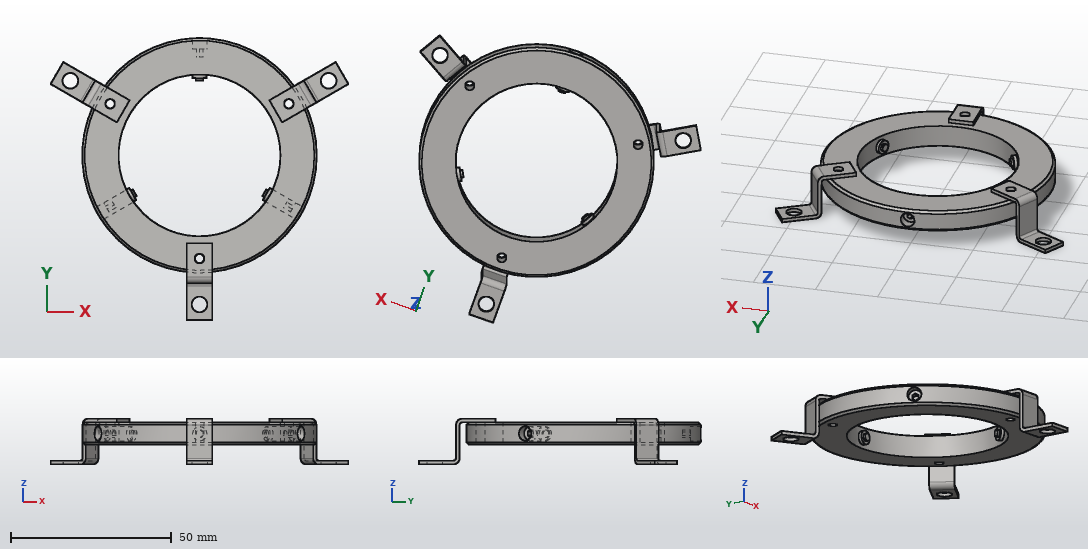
import cadquery as cq
import math

ring_outer_radius = 36.53
ring_bore_radius = 25.15
ring_thickness = 6.9
ring_chamfer = 0.8

total_height = 14.27
sheet_thickness = 1.2
bracket_width = 7.94
flange_inner_reach = 27.4
leg_outer_reach = 39.75
foot_outer_reach = 51.24
bend_inner_radius = 0.8
bend_outer_radius = bend_inner_radius + sheet_thickness
bracket_hole_reach = 32.1
bracket_hole_diameter = 3.0
ring_tapped_diameter = 2.8
foot_hole_reach = 46.4
foot_hole_diameter = 4.8

screw_diameter = 4.4
screw_outer_reach = 33.2
screw_body_inner_reach = 24.0
point_inner_reach = 23.25
point_diameter = 2.4
socket_across_flats = 2.0
socket_depth = 2.5

ring_top = total_height - sheet_thickness
ring_bottom = ring_top - ring_thickness
screw_height = (ring_top + ring_bottom) / 2

bracket_angles = [30, 150, 270]
loose_screw_angles = [210, 330]
fixed_screw_angle = 90
screw_angles = [fixed_screw_angle] + loose_screw_angles


def turned(shape, angle):
    """Turn a shape made along +X to its place around the ring."""
    return shape.rotate((0, 0, 0), (0, 0, 1), angle)


def radial_rod(inner_reach, outer_reach, diameter):
    """Round rod along +X at screw height."""
    return (
        cq.Workplane("YZ", origin=(inner_reach, 0, screw_height))
        .circle(diameter / 2)
        .extrude(outer_reach - inner_reach)
    )


def make_screw():
    body = radial_rod(screw_body_inner_reach, screw_outer_reach, screw_diameter)
    point = radial_rod(point_inner_reach, screw_body_inner_reach, point_diameter)
    corner_diameter = socket_across_flats / math.cos(math.radians(30))
    socket = (
        cq.Workplane("YZ", origin=(screw_outer_reach, 0, screw_height))
        .transformed(rotate=(0, 0, 90))
        .polygon(6, corner_diameter)
        .extrude(-socket_depth)
    )
    return body.union(point).cut(socket)


def make_ring():
    ring = (
        cq.Workplane("XY", origin=(0, 0, ring_bottom))
        .circle(ring_outer_radius)
        .extrude(ring_thickness)
        .edges()
        .chamfer(ring_chamfer)
    )
    bore = (
        cq.Workplane("XY", origin=(0, 0, ring_bottom))
        .circle(ring_bore_radius)
        .extrude(ring_thickness)
    )
    ring = ring.cut(bore)

    tapped_hole = (
        cq.Workplane("XY", origin=(bracket_hole_reach, 0, ring_bottom))
        .circle(ring_tapped_diameter / 2)
        .extrude(ring_thickness)
    )
    for angle in bracket_angles:
        ring = ring.cut(turned(tapped_hole, angle))

    screw_hole = radial_rod(screw_body_inner_reach, ring_outer_radius, screw_diameter)
    for angle in screw_angles:
        ring = ring.cut(turned(screw_hole, angle))

    return ring.union(turned(make_screw(), fixed_screw_angle))


def make_bracket():
    leg_inner_reach = leg_outer_reach - sheet_thickness
    sheet = (
        cq.Workplane("XZ", origin=(0, bracket_width / 2, 0))
        .moveTo(flange_inner_reach, ring_top)
        .lineTo(leg_inner_reach - bend_inner_radius, ring_top)
        .radiusArc((leg_inner_reach, ring_top - bend_inner_radius), bend_inner_radius)
        .lineTo(leg_inner_reach, bend_outer_radius)
        .radiusArc((leg_inner_reach + bend_outer_radius, 0), -bend_outer_radius)
        .lineTo(foot_outer_reach, 0)
        .lineTo(foot_outer_reach, sheet_thickness)
        .lineTo(leg_outer_reach + bend_inner_radius, sheet_thickness)
        .radiusArc((leg_outer_reach, bend_outer_radius), bend_inner_radius)
        .lineTo(leg_outer_reach, total_height - bend_outer_radius)
        .radiusArc((leg_outer_reach - bend_outer_radius, total_height), -bend_outer_radius)
        .lineTo(flange_inner_reach, total_height)
        .close()
        .extrude(bracket_width)
    )
    flange_hole = (
        cq.Workplane("XY", origin=(bracket_hole_reach, 0, ring_top))
        .circle(bracket_hole_diameter / 2)
        .extrude(sheet_thickness)
    )
    foot_hole = (
        cq.Workplane("XY", origin=(foot_hole_reach, 0, 0))
        .circle(foot_hole_diameter / 2)
        .extrude(sheet_thickness)
    )
    return sheet.cut(flange_hole).cut(foot_hole)


ring = make_ring()
brackets = [turned(make_bracket(), angle) for angle in bracket_angles]
loose_screws = [turned(make_screw(), angle) for angle in loose_screw_angles]

result = cq.Compound.makeCompound(
    [ring.val()]
    + [bracket.val() for bracket in brackets]
    + [screw.val() for screw in loose_screws]
)